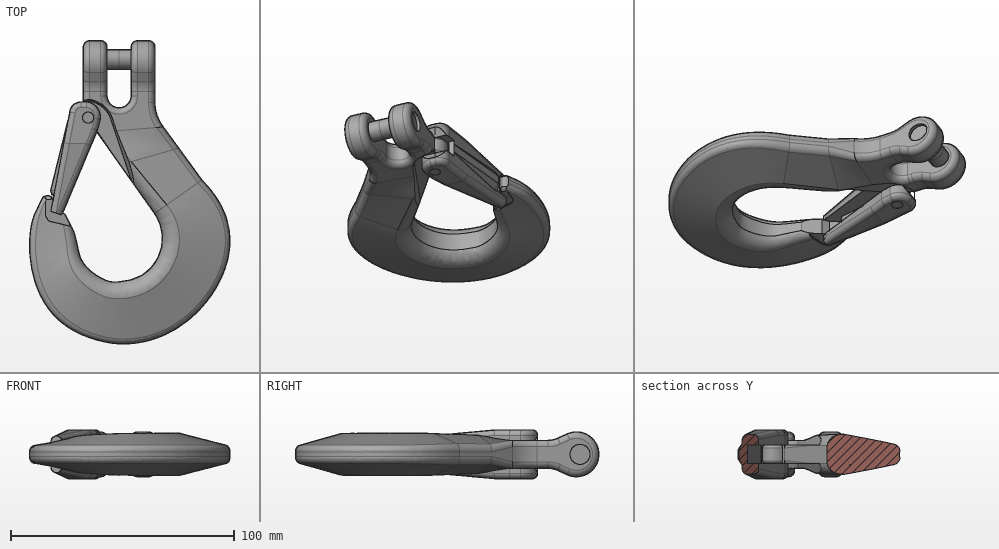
import cadquery as cq
import math

BOWL_RADIUS = 19.4
INNER_FLAT_SHARE = 0.45
THROAT_ANGLE = 35.3
THROAT_LENGTH = 44.5
SHANK_OUTER_RADIUS = 45.4
SHANK_MIDDLE = 0.6

ARM_OUTER_X = 16.1
SLOT_HALF = 5.35
SLOT_BOTTOM_Y = 58.6
CLEVIS_TOP_Y = 88.7
NECK_HALF = 6.3
EYE_RADIUS = 10.1
EYE_LEAN = 24.6
EYE_BLEND_RADIUS = 10.5
CLEVIS_ROUND = 2.9
FLARE_TOP_Y = 61.0
FLARE_END = (19.8, 50.0)
FLARE_MID = (17.0, 55.3)

PIN_DIAMETER = 9.0
PIN_Y = 80.2
PIN_RECESS = 1.5

PIVOT = (-13.9, 54.2)
RIVET_DIAMETER = 5.0
RIVET_SET_BACK = 0.1
LUG_RADIUS = 6.0
LUG_HALF = 4.1
LUG_ROUND = 1.2
POCKET_WALL_SLOPE = 20.0

BACK_TOP = (-22.2, 56.5)
BACK_BOTTOM = (-30.6, 12.2)
LATCH_HALF = 11.0
LATCH_ROUND = 2.5
HEAD_TOP_Y = 61.2
TAPER_START_Y = 42.5
LATCH_END_Y = 10.6
LATCH_END_HALF = 8.1
WEB_THICKNESS = 2.5
WEB_TOP_Y = 53.2
WEB_BOTTOM_Y = 19.5
MOUTH_DEPTH = 2.4
MOUTH_HALF = 8.0
RIB_CREST_HALF = 2.0
RIB_START_HALF = 3.2
RIB_START_HEIGHT = 0.1
RIB_BASE_HALF = 5.6
RIB_PEAK_Y = 21.5
RIB_HEIGHT = 1.9
RIB_ROOT = 0.4

CUT_HEIGHT = 30.0
CUT_SPAN = 200.0
TIP_REACH = 45.0


def polar(radius, degrees):
    angle = math.radians(degrees)
    return (radius * math.cos(angle), radius * math.sin(angle))


def between(start, end, share):
    """Point at a share of the way from start to end."""
    return (start[0] + share * (end[0] - start[0]), start[1] + share * (end[1] - start[1]))


def section(inner, outer, inner_half, outer_half, inner_round, outer_round, outer_flat=1.0):
    """Wire of a tapered section standing on the line from the inner to the outer edge.

    The half heights hold at the ends of the two rounded edges, the flats at the edges themselves.
    """
    inner_flat = INNER_FLAT_SHARE * inner_half
    width = math.dist(inner, outer)
    across = ((outer[0] - inner[0]) / width, (outer[1] - inner[1]) / width)
    plane = cq.Plane(
        origin=(inner[0], inner[1], 0), xDir=(across[0], across[1], 0), normal=(across[1], -across[0], 0)
    )
    bulge = math.sqrt(0.5)
    inner_mid = (inner_round * (1 - bulge), inner_flat + (inner_half - inner_flat) * bulge)
    outer_mid = (width - outer_round * (1 - bulge), outer_flat + (outer_half - outer_flat) * bulge)
    sketch = (
        cq.Workplane(plane)
        .moveTo(0, -inner_flat)
        .lineTo(0, inner_flat)
        .threePointArc(inner_mid, (inner_round, inner_half))
        .lineTo(width - outer_round, outer_half)
        .threePointArc(outer_mid, (width, outer_flat))
        .lineTo(width, -outer_flat)
        .threePointArc((outer_mid[0], -outer_mid[1]), (width - outer_round, -outer_half))
        .lineTo(inner_round, -inner_half)
        .threePointArc((inner_mid[0], -inner_mid[1]), (0, -inner_flat))
        .close()
    )
    return sketch.val()


def bowl_section(degrees, outer_radius, inner_half, outer_half, inner_round, outer_round):
    """Section of the bowl on a ray from the bowl centre."""
    return section(
        polar(BOWL_RADIUS, degrees), polar(outer_radius, degrees),
        inner_half, outer_half, inner_round, outer_round,
    )


TANGENT_POINT = polar(BOWL_RADIUS, THROAT_ANGLE)
along_throat = polar(THROAT_LENGTH, THROAT_ANGLE + 90)
THROAT_END = (TANGENT_POINT[0] + along_throat[0], TANGENT_POINT[1] + along_throat[1])


def make_bowl():
    tip_root = bowl_section(180, 40.13, 5.6, 4.1, 4.5, 2.7)
    shank_root = bowl_section(THROAT_ANGLE, SHANK_OUTER_RADIUS, 9.3, 4.8, 6.7, 2.2)
    bowl_sections = [
        section((-27.5, 20.5), (-33.2, 20.5), 4.4, 3.9, 2.0, 2.0),
        section((-22.0, 8.5), (-38.75, 8.5), 5.0, 4.1, 3.5, 2.5),
        tip_root,
        bowl_section(210, 42.8, 7.4, 4.2, 5.6, 2.7),
        bowl_section(240, 45.9, 8.7, 4.2, 6.8, 2.5),
        bowl_section(270, 47.25, 9.3, 4.2, 7.6, 2.2),
        bowl_section(300, 47.8, 9.4, 4.2, 7.6, 2.0),
        bowl_section(330, 48.6, 9.5, 4.2, 7.6, 2.0),
        bowl_section(360, 49.65, 9.5, 4.2, 7.6, 2.0),
        bowl_section(375, 48.4, 9.5, 4.4, 7.4, 2.0),
        shank_root,
    ]
    shank_middle = section(
        between(TANGENT_POINT, THROAT_END, SHANK_MIDDLE),
        between(polar(SHANK_OUTER_RADIUS, THROAT_ANGLE), FLARE_END, SHANK_MIDDLE),
        8.6, 4.7, 5.2, 2.5,
    )
    shank_end = section(
        THROAT_END, FLARE_END,
        NECK_HALF, NECK_HALF, 4.1, CLEVIS_ROUND, NECK_HALF - CLEVIS_ROUND,
    )
    bowl = cq.Workplane(cq.Solid.makeLoft(bowl_sections))
    shank = cq.Workplane(cq.Solid.makeLoft([shank_root, shank_middle, shank_end], True))
    return bowl.union(shank)


def on_arm_side(edge):
    """True for the long edges of the arm sides, the slot end and the flare."""
    centre = edge.Center()
    above_shank = centre.y > FLARE_END[1] + CLEVIS_ROUND
    on_outer_left = math.isclose(centre.x, -ARM_OUTER_X, abs_tol=0.01)
    return above_shank and (centre.x > CLEVIS_ROUND - ARM_OUTER_X or on_outer_left)


def make_clevis():
    plan = (
        cq.Workplane("XY")
        .moveTo(*THROAT_END)
        .lineTo(*FLARE_END)
        .threePointArc(FLARE_MID, (ARM_OUTER_X, FLARE_TOP_Y))
        .lineTo(ARM_OUTER_X, CLEVIS_TOP_Y)
        .lineTo(SLOT_HALF, CLEVIS_TOP_Y)
        .lineTo(SLOT_HALF, SLOT_BOTTOM_Y + SLOT_HALF)
        .threePointArc((0, SLOT_BOTTOM_Y), (-SLOT_HALF, SLOT_BOTTOM_Y + SLOT_HALF))
        .lineTo(-SLOT_HALF, CLEVIS_TOP_Y)
        .lineTo(-ARM_OUTER_X, CLEVIS_TOP_Y)
        .lineTo(-ARM_OUTER_X, PIVOT[1])
        .lineTo(*PIVOT)
        .close()
        .extrude(EYE_RADIUS, both=True)
    )
    lean = math.radians(EYE_LEAN)
    eye_y = CLEVIS_TOP_Y - EYE_RADIUS
    touch_y = eye_y - EYE_RADIUS * math.sin(lean)
    touch_z = EYE_RADIUS * math.cos(lean)
    corner_y = touch_y - (touch_z - NECK_HALF) / math.tan(lean)
    blend_y = corner_y - EYE_BLEND_RADIUS * math.tan(lean / 2)
    blend_mid = (
        blend_y + EYE_BLEND_RADIUS * math.sin(lean / 2),
        NECK_HALF + EYE_BLEND_RADIUS * (1 - math.cos(lean / 2)),
    )
    blend_end = (
        blend_y + EYE_BLEND_RADIUS * math.sin(lean),
        NECK_HALF + EYE_BLEND_RADIUS * (1 - math.cos(lean)),
    )
    side = (
        cq.Workplane("YZ")
        .moveTo(0, -NECK_HALF)
        .lineTo(blend_y, -NECK_HALF)
        .threePointArc((blend_mid[0], -blend_mid[1]), (blend_end[0], -blend_end[1]))
        .lineTo(touch_y, -touch_z)
        .threePointArc((CLEVIS_TOP_Y, 0), (touch_y, touch_z))
        .lineTo(*blend_end)
        .threePointArc(blend_mid, (blend_y, NECK_HALF))
        .lineTo(0, NECK_HALF)
        .close()
        .extrude(2 * ARM_OUTER_X, both=True)
    )
    clevis = plan.intersect(side)
    outline_edges = [edge for edge in clevis.edges("not(|X or |Z)").vals() if on_arm_side(edge)]
    return clevis.newObject(outline_edges).fillet(CLEVIS_ROUND)


def latch_pocket():
    """Recesses on both faces of the hook, with sloping walls, that leave the lug thickness."""
    upper = (
        cq.Workplane("XY")
        .workplane(offset=LUG_HALF)
        .moveTo(-25, 61.5)
        .lineTo(-13, 61.5)
        .threePointArc((-7.4, 58.8), (-4.2, 54.8))
        .lineTo(6.0, 24.5)
        .lineTo(-25, 24.5)
        .close()
        .extrude(CUT_HEIGHT / 2, taper=-POCKET_WALL_SLOPE)
    )
    return upper.union(upper.mirror("XY"))


def tip_seat():
    """Room beside the hook tip for the ends of the latch plates."""
    corners = [(-33, 24), (-33, 10), (-31.5, 7.8), (-20, 5), (-20, 24)]
    seat = cq.Workplane("XY").polyline(corners).close().extrude(CUT_HEIGHT, both=True)
    return seat.cut(cq.Workplane("XY").box(CUT_SPAN, CUT_SPAN, 2 * LUG_HALF))


def tip_trim():
    """Everything beyond the slanted, rounded end of the hook tip."""
    return (
        cq.Workplane("XY")
        .moveTo(-40, 17)
        .lineTo(-35.2, 17)
        .threePointArc((-34, 18.6), (-31.4, 19.2))
        .lineTo(-30.2, 18.6)
        .lineTo(-27.5, 13.0)
        .lineTo(-24.2, 10.8)
        .lineTo(-20, 2.5)
        .lineTo(-15, 2.5)
        .lineTo(-15, 26)
        .lineTo(-40, 26)
        .close()
        .extrude(CUT_HEIGHT, both=True)
    )


def nose_cutter():
    """Rounds the end of the hook tip towards both faces."""
    upper = (
        cq.Workplane("YZ", origin=(-TIP_REACH, 0, 0))
        .moveTo(16.3, 4.4)
        .threePointArc((18.2, 3.7), (19.4, 2.4))
        .lineTo(19.4, 8)
        .lineTo(16.3, 8)
        .close()
        .extrude(TIP_REACH + BACK_BOTTOM[0])
    )
    return upper.union(upper.mirror("XY"))


def drill(diameter, centre):
    return cq.Workplane("XY").center(*centre).circle(diameter / 2).extrude(CUT_HEIGHT, both=True)


def make_hook():
    lug = cq.Workplane("XY").center(*PIVOT).circle(LUG_RADIUS).extrude(LUG_HALF, both=True)
    lug = lug.faces("|Z").edges().fillet(LUG_ROUND)
    pin_hole = (
        cq.Workplane("YZ").center(PIN_Y, 0).circle(PIN_DIAMETER / 2).extrude(2 * ARM_OUTER_X, both=True)
    )
    hook = make_bowl().union(make_clevis()).cut(latch_pocket())
    hook = hook.union(lug).cut(tip_seat()).cut(tip_trim()).cut(nose_cutter())
    return hook.cut(drill(RIVET_DIAMETER, PIVOT)).cut(pin_hole)


def make_clevis_pin():
    half_length = ARM_OUTER_X - PIN_RECESS
    return (
        cq.Workplane("YZ").center(PIN_Y, 0).circle(PIN_DIAMETER / 2).extrude(half_length, both=True)
    )


def latch_outline():
    return (
        cq.Workplane("XY")
        .moveTo(-9.7, 48.5)
        .lineTo(-8.4, 53.5)
        .threePointArc((-10.3, 59.2), (-14.5, HEAD_TOP_Y))
        .lineTo(-17.0, HEAD_TOP_Y)
        .threePointArc((-20.6, 59.8), BACK_TOP)
        .lineTo(*BACK_BOTTOM)
        .lineTo(-26.0, 10.6)
        .lineTo(-24.8, 12.5)
        .close()
    )


def latch_blank():
    """Latch without its inner gap, tapering in thickness from the pivot to the free end."""
    side = [(HEAD_TOP_Y + 1, LATCH_HALF), (TAPER_START_Y, LATCH_HALF), (LATCH_END_Y, LATCH_END_HALF)]
    mirrored = [(y, -z) for y, z in reversed(side)]
    profile = cq.Workplane("YZ").polyline(side + mirrored).close().extrude(CUT_SPAN, both=True)
    blank = latch_outline().extrude(LATCH_HALF, both=True).intersect(profile)
    above_end = cq.selectors.BoxSelector(
        (-TIP_REACH, LATCH_END_Y + LATCH_ROUND, -CUT_HEIGHT), (0, CLEVIS_TOP_Y, CUT_HEIGHT)
    )
    return blank.edges("not(|Z)").edges(above_end).fillet(LATCH_ROUND)


def back_x_at(y):
    """X of the straight back of the latch at a given Y."""
    share = (y - BACK_TOP[1]) / (BACK_BOTTOM[1] - BACK_TOP[1])
    return BACK_TOP[0] + share * (BACK_BOTTOM[0] - BACK_TOP[0])


def gap_cutter():
    """Room between the two plates, leaving the web along the back of the latch."""
    web_top = (back_x_at(WEB_TOP_Y) + WEB_THICKNESS, WEB_TOP_Y)
    web_bottom = (back_x_at(WEB_BOTTOM_Y) + WEB_THICKNESS, WEB_BOTTOM_Y)
    outline = [(-TIP_REACH, CLEVIS_TOP_Y), (-TIP_REACH, WEB_TOP_Y), web_top, web_bottom]
    outline += [(-TIP_REACH, WEB_BOTTOM_Y), (-TIP_REACH, 0), (0, 0), (0, CLEVIS_TOP_Y)]
    gap = cq.Workplane("XY").polyline(outline).close().extrude(LUG_HALF, both=True)
    mouth = [(HEAD_TOP_Y - MOUTH_DEPTH, LUG_HALF), (HEAD_TOP_Y, MOUTH_HALF)]
    mirrored = [(y, -z) for y, z in reversed(mouth)]
    return gap.union(cq.Workplane("YZ").polyline(mouth + mirrored).close().extrude(CUT_SPAN, both=True))


def rib_section(y, base_half, height):
    """Trapezoid standing on the back of the web, at a place along the latch."""
    back_x = back_x_at(y)
    base_x = back_x + RIB_ROOT
    crest_x = back_x - height
    corners = [(base_x, base_half), (base_x, -base_half)]
    corners += [(crest_x, -RIB_CREST_HALF), (crest_x, RIB_CREST_HALF)]
    return cq.Wire.makePolygon([cq.Vector(x, y, z) for x, z in corners], close=True)


def make_rib():
    """Rib along the back of the web that grows towards the free end and ends in a slope."""
    sections = [
        rib_section(WEB_TOP_Y, RIB_START_HALF, RIB_START_HEIGHT),
        rib_section(RIB_PEAK_Y, RIB_BASE_HALF, RIB_HEIGHT),
        rib_section(WEB_BOTTOM_Y, RIB_BASE_HALF, RIB_HEIGHT / 2),
    ]
    return cq.Workplane(cq.Solid.makeLoft(sections, True))


def make_latch():
    rivet = (
        cq.Workplane("XY")
        .center(*PIVOT)
        .circle(RIVET_DIAMETER / 2)
        .extrude(LATCH_HALF - RIVET_SET_BACK, both=True)
    )
    latch = latch_blank().cut(gap_cutter()).union(make_rib())
    return latch.cut(drill(RIVET_DIAMETER, PIVOT)).union(rivet)


hook = make_hook()
clevis_pin = make_clevis_pin()
latch = make_latch()

result = cq.Compound.makeCompound([hook.val(), clevis_pin.val(), latch.val()])